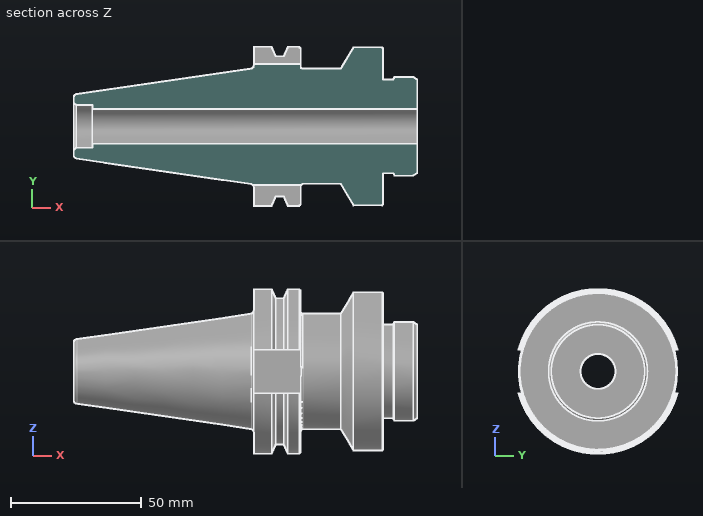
import cadquery as cq

length = 132.1
flange_start = 69.2
flange_end = 87.3
collar_cone_start = 102.6
collar_start = 107.5
collar_end = 118.9
pilot_start = 122.7

taper_ratio = 7 / 24
gauge_diameter = 44.5
tip_round = 1.5
shank_fillet_length = 0.9
shank_fillet_height = 1.5
shank_fillet_radius = 1.5

flange_diameter = 63.4
flange_chamfer = 0.7
groove_start = 76.1
groove_end = 82.3
groove_wall_run = 1.6
groove_diameter = 56.4
slot_width = 16.6
front_slot_floor = 22.6
back_slot_floor = 24.0

body_diameter = 44.5
body_fillet = 0.7
collar_diameter = 60.9
collar_chamfer = 0.4
neck_diameter = 36.0
pilot_diameter = 38.0
pilot_lead_in = 0.5
pilot_chamfer_run = 1.6
pilot_chamfer_drop = 1.0

through_diameter = 13.3
counterbore_diameter = 16.2
counterbore_depth = 7.3
mouth_diameter = 18.2
mouth_depth = 1.0


def add_shank(outline):
    """Add the taper and the concave fillet that meets the flange face."""
    taper_end = flange_start - shank_fillet_length
    gauge_radius = gauge_diameter / 2
    tip_radius = gauge_radius - taper_end * taper_ratio / 2
    return (
        outline.lineTo(0, tip_radius)
        .lineTo(taper_end, gauge_radius)
        .radiusArc((flange_start, gauge_radius + shank_fillet_height), -shank_fillet_radius)
    )


def add_flange(outline):
    """Add the flange rim with its trapezoidal groove and chamfered rear edge."""
    rim = flange_diameter / 2
    groove = groove_diameter / 2
    return (
        outline.lineTo(flange_start, rim)
        .lineTo(groove_start, rim)
        .lineTo(groove_start + groove_wall_run, groove)
        .lineTo(groove_end - groove_wall_run, groove)
        .lineTo(groove_end, rim)
        .lineTo(flange_end - flange_chamfer, rim)
        .lineTo(flange_end, rim - flange_chamfer)
    )


def add_body(outline):
    """Add the cylinder, conical collar, neck and pilot behind the flange."""
    body = body_diameter / 2
    collar = collar_diameter / 2
    neck = neck_diameter / 2
    pilot = pilot_diameter / 2
    return (
        outline.lineTo(flange_end, body + body_fillet)
        .radiusArc((flange_end + body_fillet, body), -body_fillet)
        .lineTo(collar_cone_start, body)
        .lineTo(collar_start, collar)
        .lineTo(collar_end - collar_chamfer, collar)
        .lineTo(collar_end, collar - collar_chamfer)
        .lineTo(collar_end, neck)
        .lineTo(pilot_start, neck)
        .lineTo(pilot_start + pilot_lead_in, pilot)
        .lineTo(length - pilot_chamfer_run, pilot)
        .lineTo(length, pilot - pilot_chamfer_drop)
    )


def make_blank():
    """Revolve the outer outline about X and round the tip."""
    outline = add_body(add_flange(add_shank(cq.Workplane("XY").moveTo(0, 0))))
    blank = outline.lineTo(length, 0).close().revolve(360, (0, 0, 0), (1, 0, 0))
    return blank.faces("<X").edges().fillet(tip_round)


def make_drive_slot(side, floor):
    """Cutter for one drive slot on the +Y (side=1) or -Y (side=-1) side."""
    depth = flange_diameter / 2
    slot_end = flange_end + body_fillet
    center = ((flange_start + slot_end) / 2, side * (floor + depth / 2), 0)
    return cq.Workplane("XY").box(slot_end - flange_start, depth, slot_width).translate(center)


def make_bore():
    """Cutter for the through hole, counterbore and countersunk mouth."""
    return (
        cq.Workplane("XY")
        .moveTo(0, 0)
        .lineTo(0, mouth_diameter / 2)
        .lineTo(mouth_depth, counterbore_diameter / 2)
        .lineTo(counterbore_depth, counterbore_diameter / 2)
        .lineTo(counterbore_depth, through_diameter / 2)
        .lineTo(length, through_diameter / 2)
        .lineTo(length, 0)
        .close()
        .revolve(360, (0, 0, 0), (1, 0, 0))
    )


result = (
    make_blank()
    .cut(make_drive_slot(-1, front_slot_floor))
    .cut(make_drive_slot(1, back_slot_floor))
    .cut(make_bore())
)